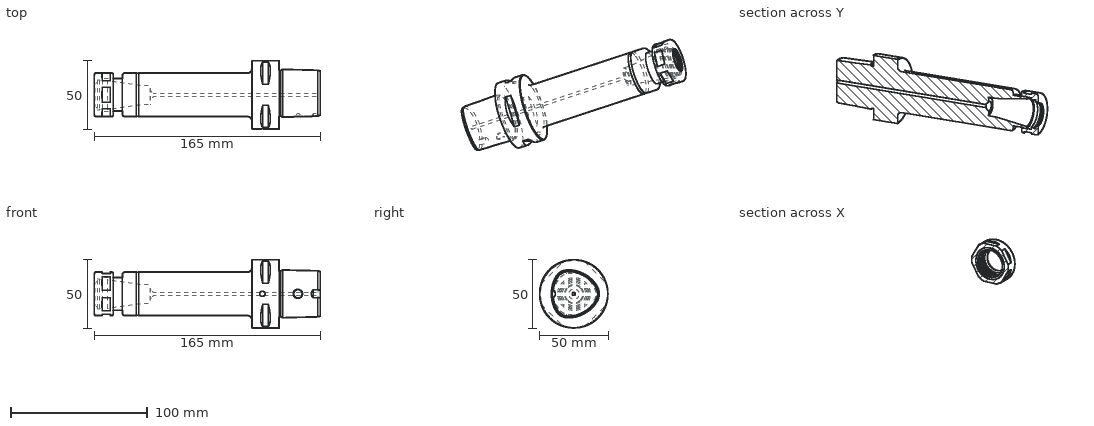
import cadquery as cq
import math


nose_length = 135.0
body_radius = 16.0
thread_radius = 12.0

nut_length = 14.0
nut_radius = body_radius
nut_rounding = 1.5
nut_mouth_radius = 8.5
nut_lip_length = 0.5
nut_cone_angle = 30.0
nut_cone_radius = 9.5
nut_groove_radius = 11.0
nut_groove_length = 1.5
nut_land_radius = 10.5
nut_land_length = 2.2
flat_count = 6
flat_distance = 15.0
flat_front = 6.0
flat_length = 5.7
flat_wall_slope = 0.4

neck_start = 9.5
collar_start = 20.5
collar_rounding = 2.0
groove_start = 30.5
groove_length = 2.0
groove_depth = 0.2

flange_radius = 25.0
flange_length = 20.0
flange_fillet = 3.0
flange_chamfer = 0.5
grip_count = 4
grip_distance = 22.25
grip_floor_width = 4.0
grip_wall_angle = 30.0
dimple_diameter = 4.0
dimple_x = -12.2
drill_point_angle = 118.0

shank_length = 30.0
shank_mean_radius = 17.6
shank_lobe = 1.15
shank_lobe_count = 3
section_points = 36
shank_taper = 1.0 / 40.0
undercut_inset = 0.75
undercut_length = 1.2
undercut_end = 2.5
tip_chamfer_length = 1.7
tip_chamfer_inset = 0.6
shank_hole_diameter = 6.1
shank_hole_depth = 1.0
shank_hole_chamfer = 0.4
shank_hole_x = 13.7
notch_full_length = 5.3
notch_axis_y = -16.5

socket_mouth_radius = 10.5
socket_angle = 8.0
socket_bore_radius = 7.0
socket_bore_length = 6.0
socket_floor_radius = 6.4
pilot_radius = 3.75
pilot_angle = 90.0
coolant_radius = 1.0

nut_front = -nose_length


def turned(points):
    """Solid of revolution about X from a closed (x, radius) outline."""
    return cq.Workplane("XY").polyline(points).close().revolve(360, (0, 0, 0), (1, 0, 0))


def around_axis(cutter, count, first_angle):
    """Copies of a cutter evenly turned about the X axis."""
    return [
        cutter.rotate((0, 0, 0), (1, 0, 0), first_angle + i * 360 / count)
        for i in range(count)
    ]


def point_depth(radius):
    """Depth of the cone that a drill of this radius leaves."""
    return radius / math.tan(math.radians(drill_point_angle / 2))


def nut_flat_cutter():
    """Removes the rim above one wrench flat; the wall at the front of the flat slopes."""
    front = nut_front + flat_front
    rear = front + flat_length
    flat_depth = nut_radius - flat_distance
    cut_height = 2 * flat_depth
    run = flat_wall_slope * cut_height / flat_depth
    return (
        cq.Workplane("XZ")
        .polyline([
            (front, flat_distance),
            (rear, flat_distance),
            (rear, flat_distance + cut_height),
            (front - run, flat_distance + cut_height),
        ])
        .close()
        .extrude(nut_radius, both=True)
    )


def make_nut():
    nut_rear = nut_front + nut_length
    nut = (
        cq.Workplane("YZ", origin=(nut_front, 0, 0))
        .circle(nut_radius)
        .extrude(nut_length)
        .edges()
        .fillet(nut_rounding)
    )

    lip_end = nut_front + nut_lip_length
    cone_length = (nut_cone_radius - nut_mouth_radius) / math.tan(math.radians(nut_cone_angle))
    cone_end = lip_end + cone_length
    groove_end = cone_end + nut_groove_length
    land_end = groove_end + nut_land_length
    nut = nut.cut(turned([
        (nut_front, 0),
        (nut_front, nut_mouth_radius),
        (lip_end, nut_mouth_radius),
        (cone_end, nut_cone_radius),
        (cone_end, nut_groove_radius),
        (groove_end, nut_groove_radius),
        (groove_end, nut_land_radius),
        (land_end, nut_land_radius),
        (land_end, thread_radius),
        (nut_rear, thread_radius),
        (nut_rear, 0),
    ]))
    for cutter in around_axis(nut_flat_cutter(), flat_count, 0):
        nut = nut.cut(cutter)
    return nut


def shank_section(x, inset):
    """Closed three-lobed curve in the plane at x, with one lobe pointing to +Y."""
    mean_radius = shank_mean_radius - shank_taper * x - inset

    def point(angle):
        reach = mean_radius + shank_lobe * math.cos(shank_lobe_count * angle)
        slope = -shank_lobe_count * shank_lobe * math.sin(shank_lobe_count * angle)
        return (
            reach * math.cos(angle) - slope * math.sin(angle),
            reach * math.sin(angle) + slope * math.cos(angle),
        )

    turn = 2 * math.pi / section_points
    points = [point(math.pi + i * turn) for i in range(section_points)]
    section = cq.Workplane("YZ", origin=(x, 0, 0)).spline(points, periodic=True)
    return section.wire().val()


def make_shank():
    tip_start = shank_length - tip_chamfer_length
    stations = [
        (0, undercut_inset),
        (undercut_length, undercut_inset),
        (undercut_end, 0),
        (tip_start, 0),
        (shank_length, tip_chamfer_inset),
    ]
    sections = [shank_section(x, inset) for x, inset in stations]
    return cq.Workplane(cq.Solid.makeLoft(sections, True))


def side_drill(x, surface_y, radius):
    """Drill point entering from -Y with its full width at surface_y."""
    return cq.Workplane(cq.Solid.makeCone(
        radius, 0, point_depth(radius),
        pnt=cq.Vector(x, surface_y, 0), dir=cq.Vector(0, 1, 0),
    ))


def make_shank_hole():
    """Chamfered blind hole in the flat of the shank that faces -Y."""
    radius = shank_hole_diameter / 2
    rim_radius = radius + shank_hole_chamfer
    surface_y = -(shank_mean_radius - shank_lobe - shank_taper * shank_hole_x)
    chamfer_y = surface_y + shank_hole_chamfer
    floor_y = surface_y + shank_hole_depth
    outside_y = -flange_radius
    return (
        cq.Workplane("XY")
        .polyline([
            (shank_hole_x, outside_y),
            (shank_hole_x + rim_radius, outside_y),
            (shank_hole_x + rim_radius, surface_y),
            (shank_hole_x + radius, chamfer_y),
            (shank_hole_x + radius, floor_y),
            (shank_hole_x, floor_y + point_depth(radius)),
        ])
        .close()
        .revolve(360, (shank_hole_x, 0, 0), (shank_hole_x, 1, 0))
    )


def make_notch():
    """Axial drill cut into the -Y side of the shank tip."""
    radius = shank_hole_diameter / 2
    full_start = shank_length - notch_full_length
    cutter = turned([
        (full_start - point_depth(radius), 0),
        (full_start, radius),
        (shank_length, radius),
        (shank_length, 0),
    ])
    return cutter.translate((0, notch_axis_y, 0))


def make_body():
    """Neck, cylindrical body and flange."""
    neck_x = nut_front + neck_start
    collar_x = nut_front + collar_start
    groove_x = nut_front + groove_start
    groove_end = groove_x + groove_length
    flange_x = -flange_length
    return (
        cq.Workplane("XY")
        .moveTo(neck_x, 0)
        .lineTo(neck_x, thread_radius)
        .lineTo(collar_x, thread_radius)
        .lineTo(collar_x, body_radius - collar_rounding)
        .radiusArc((collar_x + collar_rounding, body_radius), collar_rounding)
        .lineTo(groove_x, body_radius)
        .lineTo(groove_x, body_radius - groove_depth)
        .lineTo(groove_end, body_radius - groove_depth)
        .lineTo(groove_end, body_radius)
        .lineTo(flange_x - flange_fillet, body_radius)
        .radiusArc((flange_x, body_radius + flange_fillet), -flange_fillet)
        .lineTo(flange_x, flange_radius - flange_chamfer)
        .lineTo(flange_x + flange_chamfer, flange_radius)
        .lineTo(0, flange_radius)
        .lineTo(0, 0)
        .close()
        .revolve(360, (0, 0, 0), (1, 0, 0))
    )


def grip_cutter():
    """V-walled flat-bottomed groove across the flange rim, on the +Z side."""
    cut_height = 2 * (flange_radius - grip_distance)
    floor_half = grip_floor_width / 2
    top_half = floor_half + cut_height * math.tan(math.radians(grip_wall_angle))
    middle = -flange_length / 2
    return (
        cq.Workplane("XZ")
        .polyline([
            (middle - floor_half, grip_distance),
            (middle + floor_half, grip_distance),
            (middle + top_half, grip_distance + cut_height),
            (middle - top_half, grip_distance + cut_height),
        ])
        .close()
        .extrude(flange_radius, both=True)
    )


def make_socket():
    """Collet taper, blind bore, conical pilot and through coolant hole."""
    mouth_x = nut_front + neck_start
    taper_length = (socket_mouth_radius - socket_bore_radius) / math.tan(math.radians(socket_angle))
    throat_x = mouth_x + taper_length
    floor_x = throat_x + socket_bore_length
    bevel_end = floor_x + socket_bore_radius - socket_floor_radius
    pilot_end = floor_x + (pilot_radius - coolant_radius) / math.tan(math.radians(pilot_angle / 2))
    return turned([
        (mouth_x, 0),
        (mouth_x, socket_mouth_radius),
        (throat_x, socket_bore_radius),
        (bevel_end, socket_bore_radius),
        (floor_x, socket_floor_radius),
        (floor_x, pilot_radius),
        (pilot_end, coolant_radius),
        (shank_length, coolant_radius),
        (shank_length, 0),
    ])


def make_holder():
    holder = make_body().union(make_shank())
    for cutter in around_axis(grip_cutter(), grip_count, 45):
        holder = holder.cut(cutter)
    holder = holder.cut(side_drill(dimple_x, -flange_radius, dimple_diameter / 2))
    return holder.cut(make_shank_hole()).cut(make_notch()).cut(make_socket())


nut = make_nut().solids()
holder = make_holder().solids()

result = cq.Compound.makeCompound([nut.val(), holder.val()])